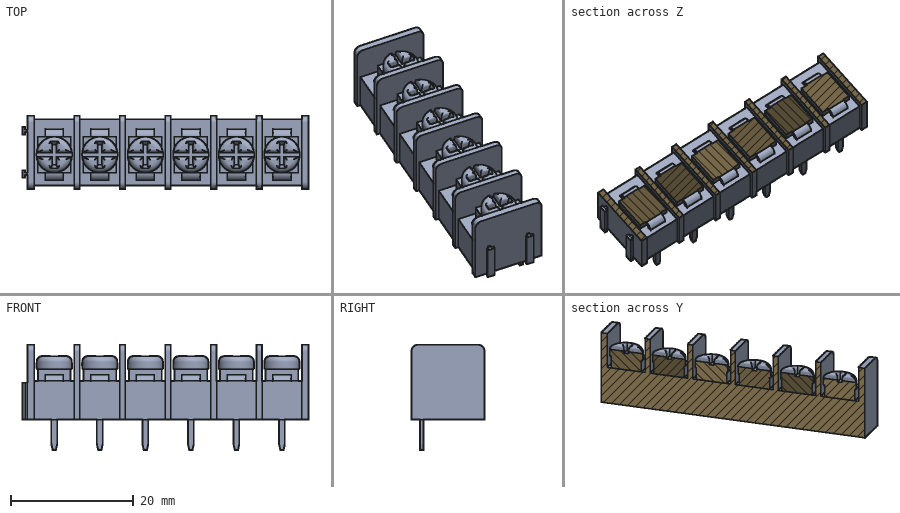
import cadquery as cq

POSITIONS = 6
PITCH = 7.46

DIVIDER_THICKNESS = 0.95
END_WALL_THICKNESS = 1.14
WALL_DEPTH = 12.01
WALL_HEIGHT = 12.3
WALL_CORNER_RADIUS = 1.1
CELL_WIDTH = PITCH - DIVIDER_THICKNESS
HOUSING_LENGTH = POSITIONS * CELL_WIDTH + (POSITIONS - 1) * DIVIDER_THICKNESS + 2 * END_WALL_THICKNESS
BASE_DEPTH = 10.9
BASE_HEIGHT = 6.36

OUTER_LENGTH = 46.94
RIB_PROJECTION = OUTER_LENGTH - HOUSING_LENGTH
RIB_CAP_THICKNESS = 0.46
RIB_CAP_WIDTH = 1.27
RIB_STEM_WIDTH = 0.42
RIB_HEIGHT = 6.08
RIB_SPACING = 7.07

SCREW_Y = -0.38
BLOCK_WIDTH = 5.4
BLOCK_DEPTH = 5.94
BLOCK_TOP = 8.25
STRAP_WIDTH = 3.0
STRAP_LENGTH = 8.46
STRAP_THICKNESS = 0.6
STRAP_TOP = 7.32
STRAP_BEND_RADIUS = 1.2
LEG_DEPTH_IN_BASE = 1.0
LEG_BOTTOM = BASE_HEIGHT - LEG_DEPTH_IN_BASE
LEG_OFFSET = (STRAP_LENGTH - STRAP_THICKNESS) / 2
PIN_WIDTH = 1.0
PIN_LENGTH = 5.0
PIN_TIP_WIDTH = 0.55
PIN_TIP_LENGTH = 1.0

HEAD_DIAMETER = 5.84
HEAD_TOP = 10.46
HEAD_TOP_RADIUS = 1.0
HEAD_BOTTOM_RADIUS = 0.27
DRIVE_DEPTH = 1.2
SLOT_WIDTH_TOP = 1.0
SLOT_WIDTH_FLOOR = 0.68
SLOT_EDGE_RADIUS = 0.42
CROSS_LENGTH_TOP = 4.2
CROSS_LENGTH_FLOOR = 3.3


def box_on(bottom, height, x_size, y_size, x=0.0, y=0.0):
    """Box centred on (x, y) that stands on the plane Z = bottom."""
    return cq.Workplane("XY", origin=(x, y, bottom)).rect(x_size, y_size).extrude(height)


def make_wall(thickness, x):
    """Upright wall with its two top corners rounded."""
    wall = box_on(0, WALL_HEIGHT, thickness, WALL_DEPTH, x)
    return wall.edges("|X and >Z").fillet(WALL_CORNER_RADIUS)


def make_rib(y):
    """T-section rib on the -X end wall: a narrow stem under a wider cap."""
    wall_face = -HOUSING_LENGTH / 2
    cap_x = wall_face - RIB_PROJECTION + RIB_CAP_THICKNESS / 2
    stem = box_on(0, RIB_HEIGHT, RIB_PROJECTION, RIB_STEM_WIDTH, wall_face - RIB_PROJECTION / 2, y)
    cap = box_on(0, RIB_HEIGHT, RIB_CAP_THICKNESS, RIB_CAP_WIDTH, cap_x, y)
    return stem.union(cap)


def make_housing(terminal_xs):
    """Base block with end walls, dividers, mating ribs and terminal recesses."""
    housing = box_on(0, BASE_HEIGHT, HOUSING_LENGTH, BASE_DEPTH)
    for side in (-1, 1):
        end_x = side * (HOUSING_LENGTH - END_WALL_THICKNESS) / 2
        housing = housing.union(make_wall(END_WALL_THICKNESS, end_x))
        housing = housing.union(make_rib(side * RIB_SPACING / 2))
    for x in terminal_xs[:-1]:
        housing = housing.union(make_wall(DIVIDER_THICKNESS, x + PITCH / 2))
    strap_and_pin = make_strap().union(make_pin())
    for x in terminal_xs:
        housing = housing.cut(strap_and_pin.translate((x, 0, 0)))
    return housing


def make_strap():
    """Strap under the clamp block, bent down at both ends into the base."""
    height = STRAP_TOP - LEG_BOTTOM
    outer = box_on(LEG_BOTTOM, height, STRAP_WIDTH, STRAP_LENGTH, y=SCREW_Y)
    outer = outer.edges("|X and >Z").fillet(STRAP_BEND_RADIUS)
    inner_length = STRAP_LENGTH - 2 * STRAP_THICKNESS
    inner = box_on(LEG_BOTTOM, height - STRAP_THICKNESS, STRAP_WIDTH, inner_length, y=SCREW_Y)
    inner = inner.edges("|X and >Z").fillet(STRAP_BEND_RADIUS - STRAP_THICKNESS)
    return outer.cut(inner)


def make_pin():
    """Flat solder pin below the -Y leg, tapered in width at its tip."""
    half = PIN_WIDTH / 2
    half_tip = PIN_TIP_WIDTH / 2
    taper_start = -PIN_LENGTH + PIN_TIP_LENGTH
    outline = [
        (-half, LEG_BOTTOM),
        (-half, taper_start),
        (-half_tip, -PIN_LENGTH),
        (half_tip, -PIN_LENGTH),
        (half, taper_start),
        (half, LEG_BOTTOM),
    ]
    pin_plane = cq.Workplane("XZ", origin=(0, SCREW_Y - LEG_OFFSET, 0))
    return pin_plane.polyline(outline).close().extrude(STRAP_THICKNESS / 2, both=True)


def make_slot_cutter(x_top, y_top, x_floor, y_floor):
    """Slot volume that narrows from the top of the screw head down to the drive floor."""
    mouth = cq.Workplane("XY", origin=(0, SCREW_Y, HEAD_TOP)).rect(x_top, y_top)
    return mouth.workplane(offset=-DRIVE_DEPTH).rect(x_floor, y_floor).loft()


def make_screw_head():
    """Domed screw head with a slot right across along X, crossed by a shorter slot along Y."""
    height = HEAD_TOP - BLOCK_TOP
    long_slot = make_slot_cutter(HEAD_DIAMETER, SLOT_WIDTH_TOP, HEAD_DIAMETER, SLOT_WIDTH_FLOOR)
    short_slot = make_slot_cutter(SLOT_WIDTH_TOP, CROSS_LENGTH_TOP, SLOT_WIDTH_FLOOR, CROSS_LENGTH_FLOOR)
    slotted = box_on(BLOCK_TOP, height, HEAD_DIAMETER, HEAD_DIAMETER, y=SCREW_Y)
    slotted = slotted.cut(long_slot).cut(short_slot)
    slotted = slotted.faces(">Z").edges("not(<X or >X or <Y or >Y)").fillet(SLOT_EDGE_RADIUS)
    dome = cq.Workplane("XY", origin=(0, SCREW_Y, BLOCK_TOP)).circle(HEAD_DIAMETER / 2).extrude(height)
    dome = dome.faces(">Z").edges().fillet(HEAD_TOP_RADIUS)
    dome = dome.faces("<Z").edges().fillet(HEAD_BOTTOM_RADIUS)
    return dome.intersect(slotted)


def make_terminal():
    """Complete terminal, centred on X = 0."""
    block = box_on(BASE_HEIGHT, BLOCK_TOP - BASE_HEIGHT, BLOCK_WIDTH, BLOCK_DEPTH, y=SCREW_Y)
    return block.union(make_strap()).union(make_pin()).union(make_screw_head())


terminal_xs = [(index - (POSITIONS - 1) / 2) * PITCH for index in range(POSITIONS)]
housing = make_housing(terminal_xs)
terminal = make_terminal()
terminals = [terminal.translate((x, 0, 0)) for x in terminal_xs]

result = cq.Compound.makeCompound([housing.solids().val(), *[copy.solids().val() for copy in terminals]])